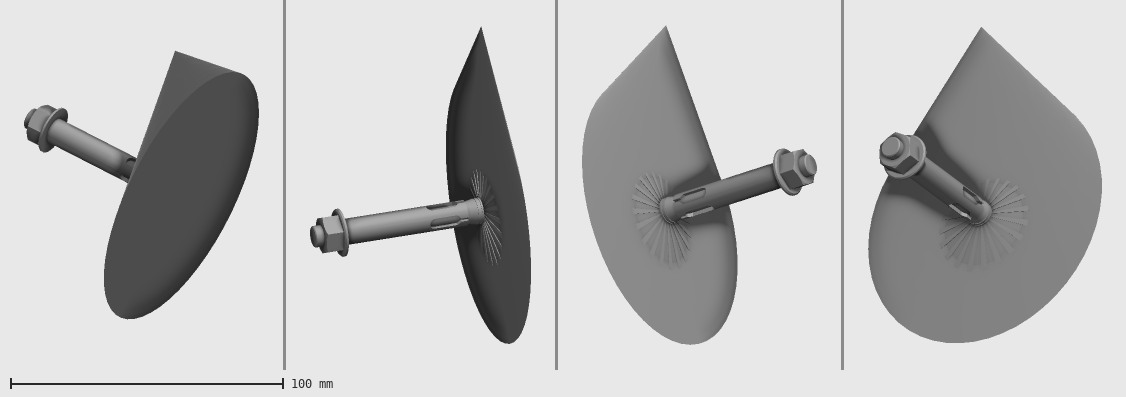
import cadquery as cq
import math

PLATE_BACK = 67.7
PLATE_HEIGHT = 127.0
RIM_RADIUS = 49.99
TIP_Z = PLATE_HEIGHT - RIM_RADIUS
TIP_RISE = 2.8
TIP_RADIUS = 0.06

BOSS_RADIUS = RIM_RADIUS / 2
BOSS_HEIGHT = 2.9
RIDGE_HEIGHT = 0.3
RIDGE_COUNT = 21
RIDGE_ANGLE = 6.6
CREST_HEIGHT = BOSS_HEIGHT + RIDGE_HEIGHT
CREST_RADIUS = BOSS_RADIUS * CREST_HEIGHT / BOSS_HEIGHT

STUD_DIAMETER = 8.0
CORE_DIAMETER = 6.9
END_CHAMFER = 0.4
BOLT_END = PLATE_BACK - CREST_HEIGHT

NUT_START = 3.2
NUT_END = 9.7
NUT_FLATS = 13.0
NUT_CORNERS = NUT_FLATS / math.cos(math.pi / 6)
NUT_CHAMFER_LENGTH = 0.5
WASHER_DIAMETER = 17.8
WASHER_END = 10.9
WASHER_CHAMFER = 0.5

SLEEVE_DIAMETER = 9.7
SLEEVE_END = 58.5
SLOT_START = 43.7
SLOT_TAPER_START = 54.4
SLOT_TAPER_END = 55.8
SLOT_WIDTH = 4.1
SLIT_WIDTH = 1.3
SLOT_SPACING = 90

CONE_START_DIAMETER = 8.3
COLLAR_START = 62.1
GROOVE_STARTS = (62.1, 63.5)
GROOVE_WIDTH = 0.4
GROOVE_DEPTH = 0.3


def cylinder(start, end, diameter):
    """Cylinder along X."""
    return cq.Workplane("YZ", origin=(start, 0, 0)).circle(diameter / 2).extrude(end - start)


def cone(start, end, start_radius, end_radius):
    """Cone or truncated cone along X."""
    return cq.Workplane(
        cq.Solid.makeCone(
            start_radius, end_radius, end - start, pnt=cq.Vector(start, 0, 0), dir=cq.Vector(1, 0, 0)
        )
    )


def make_drop():
    """Ruled loft from the rim circle to a tiny circle at the tip."""
    return (
        cq.Workplane("YZ", origin=(PLATE_BACK, 0, 0))
        .circle(RIM_RADIUS)
        .workplane(offset=-TIP_RISE)
        .center(0, TIP_Z - TIP_RADIUS)
        .circle(TIP_RADIUS)
        .loft(ruled=True)
    )


def make_ridges():
    """Narrow sectors of a cone slightly taller than the boss."""
    crest = cone(BOLT_END, PLATE_BACK, 0, CREST_RADIUS)
    half_width = CREST_RADIUS * math.tan(math.radians(RIDGE_ANGLE / 2))
    ridges = []
    for index in range(RIDGE_COUNT):
        sector = (
            cq.Workplane("YZ", origin=(BOLT_END, 0, 0))
            .polyline([(0, 0), (-half_width, -CREST_RADIUS), (half_width, -CREST_RADIUS)])
            .close()
            .extrude(CREST_HEIGHT)
            .rotate((0, 0, 0), (1, 0, 0), index * 360 / RIDGE_COUNT)
        )
        ridges.append(sector.intersect(crest))
    return ridges


def make_plate():
    plate = make_drop().union(cone(PLATE_BACK - BOSS_HEIGHT, PLATE_BACK, 0, BOSS_RADIUS))
    for ridge in make_ridges():
        plate = plate.union(ridge)
    return plate


def make_nut():
    hexagon = (
        cq.Workplane("YZ", origin=(NUT_START, 0, 0))
        .polygon(6, NUT_CORNERS)
        .extrude(NUT_END - NUT_START)
        .rotate((0, 0, 0), (1, 0, 0), 90)
    )
    chamfer_depth = (NUT_CORNERS - NUT_FLATS) / 2
    envelope = cylinder(NUT_START, NUT_END, NUT_CORNERS).faces("<X").chamfer(
        NUT_CHAMFER_LENGTH, chamfer_depth
    )
    return hexagon.intersect(envelope)


def make_bolt():
    stud = cylinder(0, WASHER_END, STUD_DIAMETER).faces("<X").chamfer(END_CHAMFER)
    washer = cylinder(NUT_END, WASHER_END, WASHER_DIAMETER).faces("<X").chamfer(WASHER_CHAMFER)
    core = cylinder(WASHER_END, SLEEVE_END, CORE_DIAMETER)
    expander = cone(SLEEVE_END, COLLAR_START, CONE_START_DIAMETER / 2, SLEEVE_DIAMETER / 2)
    collar = cylinder(COLLAR_START, BOLT_END, SLEEVE_DIAMETER)
    for start in GROOVE_STARTS:
        end = start + GROOVE_WIDTH
        ring = cylinder(start, end, SLEEVE_DIAMETER).cut(
            cylinder(start, end, SLEEVE_DIAMETER - 2 * GROOVE_DEPTH)
        )
        collar = collar.cut(ring)
    return stud.union(make_nut()).union(washer).union(core).union(expander).union(collar)


def make_slot():
    """Round-ended window that tapers to a slit, cut through the +Z wall."""
    half_slot = SLOT_WIDTH / 2
    half_slit = SLIT_WIDTH / 2
    return (
        cq.Workplane("XY")
        .moveTo(SLOT_START + half_slot, half_slot)
        .threePointArc((SLOT_START, 0), (SLOT_START + half_slot, -half_slot))
        .lineTo(SLOT_TAPER_START, -half_slot)
        .lineTo(SLOT_TAPER_END, -half_slit)
        .lineTo(SLEEVE_END, -half_slit)
        .lineTo(SLEEVE_END, half_slit)
        .lineTo(SLOT_TAPER_END, half_slit)
        .lineTo(SLOT_TAPER_START, half_slot)
        .close()
        .extrude(SLEEVE_DIAMETER)
    )


def make_sleeve():
    sleeve = cylinder(WASHER_END, SLEEVE_END, SLEEVE_DIAMETER).cut(
        cylinder(WASHER_END, SLEEVE_END, CORE_DIAMETER)
    )
    for angle in range(0, 360, SLOT_SPACING):
        sleeve = sleeve.cut(make_slot().rotate((0, 0, 0), (1, 0, 0), angle))
    return sleeve


plate = make_plate()
bolt = make_bolt()
sleeve = make_sleeve()

result = cq.Compound.makeCompound([plate.val(), bolt.val(), sleeve.val()])